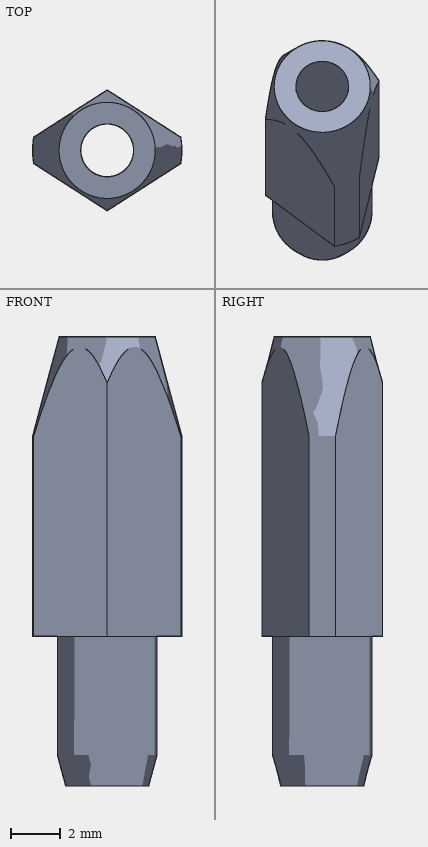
import cadquery as cq
import math

total_length = 18.0
shank_length = 6.0
shank_diameter = 4.0
tip_height = 1.25
head_diameter = 6.0
cone_height = 4.0
taper_angle = 15.0
bore_diameter = 2.1
ridge_half_width = 2.421
flat_angle = 32.7

taper = math.tan(math.radians(taper_angle))
shank_radius = shank_diameter / 2
head_radius = head_diameter / 2
tip_radius = shank_radius - tip_height * taper
top_radius = head_radius - cone_height * taper


def make_shank():
    """Round shank with a tapered tip, up to the underside of the head."""
    profile = [
        (0, 0),
        (tip_radius, 0),
        (shank_radius, tip_height),
        (shank_radius, shank_length),
        (0, shank_length),
    ]
    return cq.Workplane("XZ").polyline(profile).close().revolve(360, (0, 0), (0, 1))


def make_head():
    """Round, conical-topped head cut to a diamond by four flats."""
    profile = [
        (0, shank_length),
        (head_radius, shank_length),
        (head_radius, total_length - cone_height),
        (top_radius, total_length),
        (0, total_length),
    ]
    round_head = cq.Workplane("XZ").polyline(profile).close().revolve(360, (0, 0), (0, 1))

    corner_x = ridge_half_width / math.tan(math.radians(flat_angle))
    corners = [(corner_x, 0), (0, ridge_half_width), (-corner_x, 0), (0, -ridge_half_width)]
    diamond = cq.Workplane("XY").polyline(corners).close().extrude(total_length)
    return round_head.intersect(diamond)


bore = cq.Workplane("XY").circle(bore_diameter / 2).extrude(total_length)
result = make_shank().union(make_head()).cut(bore)